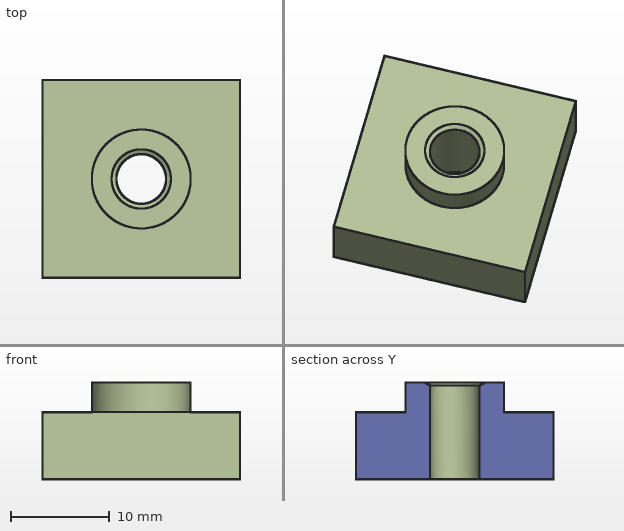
import cadquery as cq
import math

plate_side = 20.0
plate_height = 6.8

boss_diameter = plate_side / 2
boss_height = 3.0

hole_diameter = 5.0
mouth_diameter = 6.0
mouth_cone_angle = 120.0
mouth_depth = (mouth_diameter - hole_diameter) / 2 / math.tan(math.radians(mouth_cone_angle / 2))

total_height = plate_height + boss_height


def make_plate():
    return cq.Workplane("XY").rect(plate_side, plate_side).extrude(plate_height)


def make_boss():
    return (
        cq.Workplane("XY")
        .workplane(offset=plate_height)
        .circle(boss_diameter / 2)
        .extrude(boss_height)
    )


def make_hole():
    """Half section of the hole, revolved about the Z axis."""
    return (
        cq.Workplane("XZ")
        .moveTo(0, 0)
        .lineTo(hole_diameter / 2, 0)
        .lineTo(hole_diameter / 2, total_height - mouth_depth)
        .lineTo(mouth_diameter / 2, total_height)
        .lineTo(0, total_height)
        .close()
        .revolve(360, (0, 0, 0), (0, 1, 0))
    )


result = make_plate().union(make_boss()).cut(make_hole())